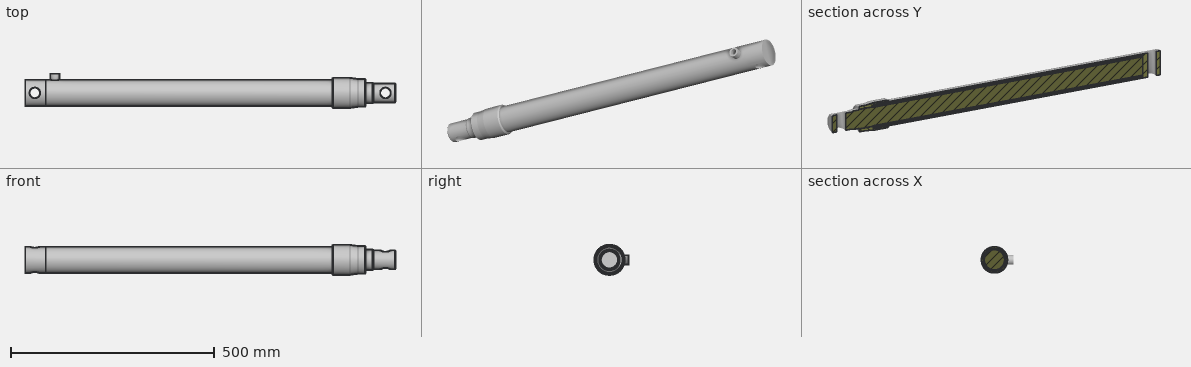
import cadquery as cq

TOTAL_LENGTH = 910.0
CAP_LENGTH = 50.0
GLAND_START = 753.5
GLAND_END = 836.0
TUBE_END = 797.0

TUBE_RADIUS = 33.0
BORE_RADIUS = 27.0
PORT_X = 73.0
PORT_RADIUS = 12.0
PORT_BORE_RADIUS = 7.0
PORT_TOP = 47.0

GLAND_RADIUS = 37.0
GLAND_NOSE_RADIUS = 35.0
GLAND_TAPER_END = 816.0
GLAND_CHAMFER = 3.0

ROD_RADIUS = 25.5
ROD_END_RADIUS = 24.0
ROD_SHOULDER_START = 853.0
ROD_SHOULDER_END = ROD_SHOULDER_START + 3.0
ROD_CHAMFER = 3.0

PIN_HOLE_RADIUS = 13.0
CAP_HOLE_X = 24.0
ROD_HOLE_X = 884.5


def cylinder_x(start, end, radius):
    """Cylinder on the X axis between two X positions."""
    return cq.Workplane("YZ", origin=(start, 0, 0)).circle(radius).extrude(end - start)


def cylinder_y(radius):
    """Cylinder along +Y at the port, from the tube axis to the port face."""
    return cq.Workplane("XZ", origin=(PORT_X, 0, 0)).circle(radius).extrude(-PORT_TOP)


def turned(profile):
    """Revolve a closed (x, radius) outline about the X axis."""
    return cq.Workplane("XY").polyline(profile).close().revolve(360, (0, 0, 0), (1, 0, 0))


def pin_hole(x):
    """Vertical cutter that passes through the whole part at the given X."""
    return cq.Workplane("XY", origin=(x, 0, 0)).circle(PIN_HOLE_RADIUS).extrude(GLAND_RADIUS, both=True)


def make_cap():
    return cylinder_x(0, CAP_LENGTH, TUBE_RADIUS).cut(pin_hole(CAP_HOLE_X))


def make_tube():
    tube = cylinder_x(CAP_LENGTH, TUBE_END, TUBE_RADIUS)
    bore = cylinder_x(CAP_LENGTH, TUBE_END, BORE_RADIUS)
    port_passage = cylinder_y(PORT_BORE_RADIUS)
    return tube.cut(bore).cut(port_passage)


def make_port():
    boss = cylinder_y(PORT_RADIUS).cut(cylinder_y(PORT_BORE_RADIUS))
    return boss.cut(cylinder_x(CAP_LENGTH, TUBE_END, TUBE_RADIUS))


def make_gland():
    return turned([
        (GLAND_START, TUBE_RADIUS),
        (GLAND_START, GLAND_RADIUS - GLAND_CHAMFER),
        (GLAND_START + GLAND_CHAMFER, GLAND_RADIUS),
        (TUBE_END, GLAND_RADIUS),
        (GLAND_TAPER_END, GLAND_NOSE_RADIUS),
        (GLAND_END - GLAND_CHAMFER, GLAND_NOSE_RADIUS),
        (GLAND_END, GLAND_NOSE_RADIUS - GLAND_CHAMFER),
        (GLAND_END, ROD_RADIUS),
        (TUBE_END, ROD_RADIUS),
        (TUBE_END, TUBE_RADIUS),
    ])


def make_rod():
    rod = turned([
        (CAP_LENGTH, 0),
        (CAP_LENGTH, ROD_RADIUS),
        (ROD_SHOULDER_START, ROD_RADIUS),
        (ROD_SHOULDER_END, ROD_END_RADIUS),
        (TOTAL_LENGTH - ROD_CHAMFER, ROD_END_RADIUS),
        (TOTAL_LENGTH, ROD_END_RADIUS - ROD_CHAMFER),
        (TOTAL_LENGTH, 0),
    ])
    return rod.cut(pin_hole(ROD_HOLE_X))


cap = make_cap()
tube = make_tube()
port = make_port()
gland = make_gland()
rod = make_rod()

result = cq.Compound.makeCompound([cap.val(), tube.val(), port.val(), gland.val(), rod.val()])